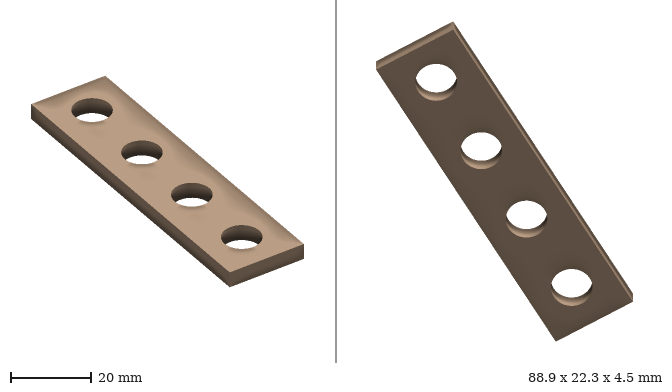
import cadquery as cq

length = 88.9
width = 22.3
thickness = 4.5

hole_count = 4
hole_diameter = 10.4
first_hole_from_end = 10.7
hole_row_span = 67.0
hole_pitch = hole_row_span / (hole_count - 1)

first_hole_x = first_hole_from_end - length / 2
hole_centers = [(first_hole_x + i * hole_pitch, 0) for i in range(hole_count)]

bar = cq.Workplane("XY").box(length, width, thickness)
result = bar.faces(">Z").workplane().pushPoints(hole_centers).hole(hole_diameter)